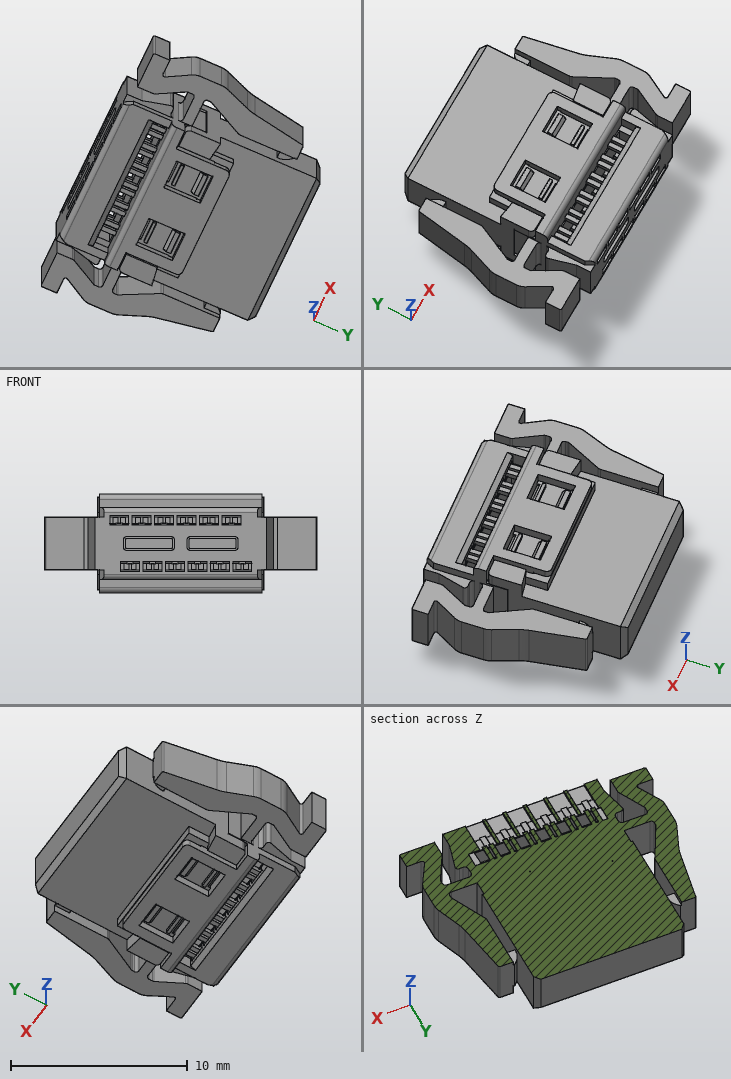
import cadquery as cq
import math

OVER = 0.15

LENGTH = 12.2
BODY_HALF_WIDTH = 4.7
BODY_HALF_HEIGHT = 1.55
BODY_FRONT = 5.02
NOSE_LENGTH = 0.35
NOSE_INSET = 0.3

HOUSING_HALF_WIDTH = 4.6
HOUSING_HALF_HEIGHT = 2.8
BLOCK_HALF_HEIGHT = 2.05
CORE_HALF_HEIGHT = 1.66
EDGE_RADIUS = 0.31
FLANGE_FRONT = 2.91
FLANGE_BACK = 3.7
CORNER_CUT_WIDTH = 0.28
CORNER_CUT_LENGTH = 0.51
PLATE_HALF_WIDTH = 3.43
PLATE_BACK = 7.1
PLATE_CORNER_RADIUS = 0.31

STRIP_HALF_WIDTH = 3.79
STRIP_TOP = 2.22
EAR_INNER = 3.57
EAR_TOP = 2.62
EAR_FRONT = 3.79
EAR_BACK_OUTER = 5.88
EAR_BACK_INNER = 5.71
EAR_CORNER_RADIUS = 0.28
GAP = 0.1
PLATE_GAP_FRONT = 6.08

WINDOW_INNER = 1.02
WINDOW_OUTER = 2.77
WINDOW_FRONT = 4.03
WINDOW_BACK = 6.28
CATCH_WIDTH = 1.31
CATCH_BACK = 6.08
CATCH_CREST = 5.79
CATCH_FOOT = 5.6
CATCH_HEIGHT = 0.23
SPRING_BACK = 4.6
SPRING_CREST = 4.4
SPRING_DROP = 0.46

CONTACT_COUNT = 6
CONTACT_ROW_SPAN = 6.35
CONTACT_PITCH = CONTACT_ROW_SPAN / (CONTACT_COUNT - 1)
ROW_OFFSET = 0.31
SLOT_WIDTH = 1.06
SLOT_TOP = 1.57
SLOT_BOTTOM = 1.03
SLOT_LIP = 0.08
SLOT_MOUTH_DEPTH = 1.23
TAB_WIDTH = 0.35
TAB_HEIGHT = 0.12
TINE_WIDTH = 0.28
TINE_SPACING = 0.42
TINE_TOP = 1.48
TINE_THICKNESS = 0.34
BAY_HALF_WIDTH = 4.13
BAY_FRONT = 1.99
BAY_SLOPE_LENGTH = 0.32
BAY_SLOPE_DROP = 0.18
SHAFT_HALF_WIDTH = 3.77
SHAFT_FRONT = 2.05
SHAFT_BACK = 2.83

POCKET_CENTER = 1.8
POCKET_WIDTH = 2.88
POCKET_HEIGHT = 0.79
POCKET_RADIUS = 0.18
POCKET_DEPTH = 1.23
POCKET_STEP = 0.11
POCKET_STEP_DEPTH = 0.15

ARM_HALF_HEIGHT = 1.5
HOOK_HALF_HEIGHT = 0.92
ARM_ROOT = 4.31
ARM_INNER = 5.25
ARM_TIP = 10.36
HOOK_FRONT = 9.38
HOOK_NOSE = 9.55
HOOK_ARC_MIDDLE = (4.95, 10.13)
HOOK_ARC_END = (5.17, ARM_TIP)

ARM_CORNERS = [
    (ARM_ROOT, 0, 0),
    (4.84, 0, 0),
    (4.84, 0.92, 0),
    (5.3, 2.75, 0.18),
    (HOUSING_HALF_WIDTH, 2.75, 0.22),
    (HOUSING_HALF_WIDTH, 3.53, 0.22),
    (6.38, 3.53, 0.18),
    (6.38, 3.06, 0.15),
    (5.48, 1.39, 0.31),
    (5.48, 0.35, 0),
    (7.7, 0.35, 0.1),
    (7.7, 1.35, 0),
    (6.58, 1.35, 0.12),
    (7.53, 3.06, 0.97),
    (7.53, 4.87, 1.23),
    (6.78, 6.8, 2.77),
    (6.16, ARM_TIP, 0.1),
    (ARM_INNER, ARM_TIP, 0),
    (ARM_INNER, 6.78, 0.31),
    (6.38, 4.51, 0.18),
    (6.38, 4.15, 0.17),
    (ARM_ROOT, 4.15, 0),
]


def block(x_range, y_range, z_range):
    """Box between the given limits."""
    (x0, x1), (y0, y1), (z0, z1) = x_range, y_range, z_range
    return cq.Workplane("XY").box(x1 - x0, y1 - y0, z1 - z0, centered=False).translate((x0, y0, z0))


def centered_block(half_width, y_range, z_range):
    return block((-half_width, half_width), y_range, z_range)


def side_prism(points, x0, x1):
    """Outline of (y, z) points drawn out from x0 to x1."""
    return cq.Workplane("YZ").workplane(offset=x0).polyline(points).close().extrude(x1 - x0)


def flat_prism(points, z0, z1):
    """Outline of (x, y) points drawn out from z0 to z1."""
    return cq.Workplane("XY").workplane(offset=z0).polyline(points).close().extrude(z1 - z0)


def half_turn(shape):
    return shape.rotate((0, 0, 0), (0, 1, 0), 180)


def both_sides(shape):
    return shape.union(shape.mirror("YZ"))


def rounded_outline(corners, plane):
    """Closed outline whose corners are replaced by tangent arcs; the first corner is sharp."""
    pieces = []
    for i, (x, y, radius) in enumerate(corners):
        corner = cq.Vector(x, y)
        before = (cq.Vector(*corners[i - 1][:2]) - corner).normalized()
        after = (cq.Vector(*corners[(i + 1) % len(corners)][:2]) - corner).normalized()
        half_angle = before.getAngle(after) / 2
        trim = radius / math.tan(half_angle)
        reach = radius / math.sin(half_angle) - radius
        middle = corner + (before + after).normalized() * reach
        pieces.append((radius, corner + before * trim, middle, corner + after * trim))
    outline = plane.moveTo(*pieces[0][3].toTuple()[:2])
    for radius, start, middle, end in pieces[1:]:
        outline = outline.lineTo(start.x, start.y)
        if radius > 0:
            outline = outline.threePointArc((middle.x, middle.y), (end.x, end.y))
    return outline.close()


def make_body():
    shoulder = LENGTH - NOSE_LENGTH
    body = centered_block(
        BODY_HALF_WIDTH, (BODY_FRONT, shoulder), (-BODY_HALF_HEIGHT, BODY_HALF_HEIGHT)
    )
    nose_taper = math.degrees(math.atan(NOSE_INSET / NOSE_LENGTH))
    nose = (
        cq.Workplane("XZ", origin=(0, shoulder, 0))
        .rect(2 * BODY_HALF_WIDTH, 2 * BODY_HALF_HEIGHT)
        .extrude(-NOSE_LENGTH, taper=nose_taper)
    )
    return body.union(nose)


def make_housing():
    chamfered = [
        (HOUSING_HALF_WIDTH - CORNER_CUT_WIDTH, 0),
        (HOUSING_HALF_WIDTH, CORNER_CUT_LENGTH),
        (HOUSING_HALF_WIDTH, FLANGE_BACK),
    ]
    outline = chamfered + [(-x, y) for x, y in reversed(chamfered)]
    cable_block = flat_prism(outline, -BLOCK_HALF_HEIGHT, BLOCK_HALF_HEIGHT)
    cable_block = cable_block.faces("<Y").edges("|X").fillet(EDGE_RADIUS)
    flange = centered_block(
        HOUSING_HALF_WIDTH, (FLANGE_FRONT, FLANGE_BACK), (-HOUSING_HALF_HEIGHT, HOUSING_HALF_HEIGHT)
    )
    flange = flange.faces("<Y").edges("|X").fillet(EDGE_RADIUS)
    core = centered_block(
        HOUSING_HALF_WIDTH, (0, BODY_FRONT + OVER), (-ARM_HALF_HEIGHT, ARM_HALF_HEIGHT)
    )
    inner_step = centered_block(
        HOUSING_HALF_WIDTH, (FLANGE_FRONT, BODY_FRONT), (-CORE_HALF_HEIGHT, CORE_HALF_HEIGHT)
    )
    return cable_block.union(flange).union(core).union(inner_step)


def make_arm():
    plane = cq.Workplane("XY").workplane(offset=-ARM_HALF_HEIGHT)
    arm = rounded_outline(ARM_CORNERS, plane).extrude(2 * ARM_HALF_HEIGHT)
    hook_root = BODY_HALF_WIDTH - OVER
    hook = (
        cq.Workplane("XY")
        .workplane(offset=-HOOK_HALF_HEIGHT)
        .moveTo(ARM_INNER + OVER, HOOK_FRONT)
        .lineTo(hook_root, HOOK_FRONT)
        .lineTo(hook_root, HOOK_NOSE)
        .lineTo(BODY_HALF_WIDTH, HOOK_NOSE)
        .threePointArc(HOOK_ARC_MIDDLE, HOOK_ARC_END)
        .lineTo(ARM_INNER + OVER, ARM_TIP)
        .close()
        .extrude(2 * HOOK_HALF_HEIGHT)
    )
    return arm.union(hook)


def make_ear():
    ear = flat_prism(
        [
            (EAR_INNER, EAR_FRONT),
            (BODY_HALF_WIDTH, EAR_FRONT),
            (BODY_HALF_WIDTH, EAR_BACK_OUTER),
            (EAR_INNER, EAR_BACK_INNER),
        ],
        BODY_HALF_HEIGHT - OVER,
        EAR_TOP,
    )
    ear = ear.edges("|Z").edges("<Y").edges(">X").fillet(EAR_CORNER_RADIUS)
    under_ear = block(
        (EAR_INNER - OVER, BODY_HALF_WIDTH + OVER),
        (EAR_FRONT - OVER, BODY_FRONT),
        (0, CORE_HALF_HEIGHT + GAP),
    )
    return ear.cut(under_ear)


def make_raised_side():
    """Shell strip, raised plate and ears on the upper side, with the thin gaps between them."""
    strip = centered_block(STRIP_HALF_WIDTH, (FLANGE_BACK, PLATE_BACK), (0, STRIP_TOP))
    strip_gap = centered_block(
        BODY_HALF_WIDTH, (FLANGE_BACK, BODY_FRONT), (CORE_HALF_HEIGHT, CORE_HALF_HEIGHT + GAP)
    )
    end_gap = centered_block(
        BODY_HALF_WIDTH, (FLANGE_BACK, EAR_FRONT), (CORE_HALF_HEIGHT, STRIP_TOP)
    )
    plate = centered_block(
        PLATE_HALF_WIDTH, (FLANGE_BACK, PLATE_BACK), (STRIP_TOP, HOUSING_HALF_HEIGHT)
    )
    plate = plate.edges("|Z and >Y").fillet(PLATE_CORNER_RADIUS)
    plate_gap = centered_block(
        BODY_HALF_WIDTH, (PLATE_GAP_FRONT, PLATE_BACK), (STRIP_TOP, STRIP_TOP + GAP)
    )
    strip = strip.cut(strip_gap).cut(end_gap)
    return strip.union(plate.cut(plate_gap)).union(both_sides(make_ear()))


def make_window():
    return block(
        (WINDOW_INNER, WINDOW_OUTER), (WINDOW_FRONT, WINDOW_BACK), (STRIP_TOP, HOUSING_HALF_HEIGHT + OVER)
    )


def catch_limits():
    center = (WINDOW_INNER + WINDOW_OUTER) / 2
    return center - CATCH_WIDTH / 2, center + CATCH_WIDTH / 2


def make_catches():
    """Ramped catch at the back of a window and the square spring tip at its front."""
    crest = STRIP_TOP + CATCH_HEIGHT
    catch = side_prism(
        [(CATCH_FOOT, STRIP_TOP), (CATCH_BACK, STRIP_TOP), (CATCH_BACK, crest), (CATCH_CREST, crest)],
        *catch_limits(),
    )
    spring = block(catch_limits(), (SPRING_CREST, SPRING_BACK), (STRIP_TOP, crest))
    return catch.union(spring)


def make_spring_ramp():
    """Wedge removed in front of the spring tip."""
    top = STRIP_TOP + CATCH_HEIGHT
    return side_prism(
        [(SPRING_CREST, top), (WINDOW_FRONT, top), (WINDOW_FRONT, top - SPRING_DROP)], *catch_limits()
    )


def make_bay():
    """Opening above the contacts with a sloped front lip, and the shaft that runs right through."""
    floor = TINE_TOP - TINE_THICKNESS
    outline = [
        (FLANGE_FRONT, floor),
        (FLANGE_FRONT, BLOCK_HALF_HEIGHT),
        (BAY_FRONT - BAY_SLOPE_LENGTH, BLOCK_HALF_HEIGHT),
        (BAY_FRONT, BLOCK_HALF_HEIGHT - BAY_SLOPE_DROP),
        (BAY_FRONT, floor),
    ]
    bay = side_prism(outline, -BAY_HALF_WIDTH, BAY_HALF_WIDTH)
    shaft = centered_block(SHAFT_HALF_WIDTH, (SHAFT_FRONT, SHAFT_BACK), (-OVER, floor + OVER))
    return bay.union(shaft)


def contact_positions():
    row_start = -ROW_OFFSET - CONTACT_ROW_SPAN / 2
    return [row_start + i * CONTACT_PITCH for i in range(CONTACT_COUNT)]


def make_contact_slot(x):
    """Wide mouth, narrower throat into the bay, and a small tab standing on the slot floor."""
    limits = (x - SLOT_WIDTH / 2, x + SLOT_WIDTH / 2)
    mouth = block(limits, (-OVER, SLOT_MOUTH_DEPTH), (SLOT_BOTTOM, SLOT_TOP))
    throat = block(limits, (0, BAY_FRONT), (SLOT_BOTTOM + SLOT_LIP, SLOT_TOP - SLOT_LIP))
    tab = block(
        (x - TAB_WIDTH / 2, x + TAB_WIDTH / 2),
        (SLOT_MOUTH_DEPTH - SLOT_LIP, BAY_FRONT),
        (SLOT_BOTTOM, SLOT_BOTTOM + TAB_HEIGHT),
    )
    return mouth.union(throat).cut(tab)


def make_tines(x):
    """Pair of tines that bridge the bay."""
    tines = cq.Workplane("XY")
    for center in (x - TINE_SPACING / 2, x + TINE_SPACING / 2):
        tines = tines.union(
            block(
                (center - TINE_WIDTH / 2, center + TINE_WIDTH / 2),
                (BAY_FRONT - OVER, FLANGE_FRONT + OVER),
                (TINE_TOP - TINE_THICKNESS, TINE_TOP),
            )
        )
    return tines


def make_pocket():
    """Rounded pocket with a slightly smaller and deeper floor."""

    def rounded_bar(inset, depth):
        bar = cq.Workplane("XZ", origin=(POCKET_CENTER, 0, 0))
        bar = bar.rect(POCKET_WIDTH - 2 * inset, POCKET_HEIGHT - 2 * inset).extrude(-depth)
        return bar.edges("|Y").fillet(POCKET_RADIUS - inset)

    return rounded_bar(0, POCKET_DEPTH).union(rounded_bar(POCKET_STEP, POCKET_DEPTH + POCKET_STEP_DEPTH))


def with_both_rows(shape):
    return shape.union(half_turn(shape))


raised_side = make_raised_side().cut(both_sides(make_window())).union(both_sides(make_catches()))
raised_side = raised_side.cut(both_sides(make_spring_ramp()))

openings = make_bay()
tines = cq.Workplane("XY")
for contact_x in contact_positions():
    openings = openings.union(make_contact_slot(contact_x))
    tines = tines.union(make_tines(contact_x))

result = (
    make_housing()
    .union(make_body())
    .union(with_both_rows(raised_side))
    .union(both_sides(make_arm()))
    .cut(with_both_rows(openings))
    .cut(both_sides(make_pocket()))
    .union(with_both_rows(tines))
)